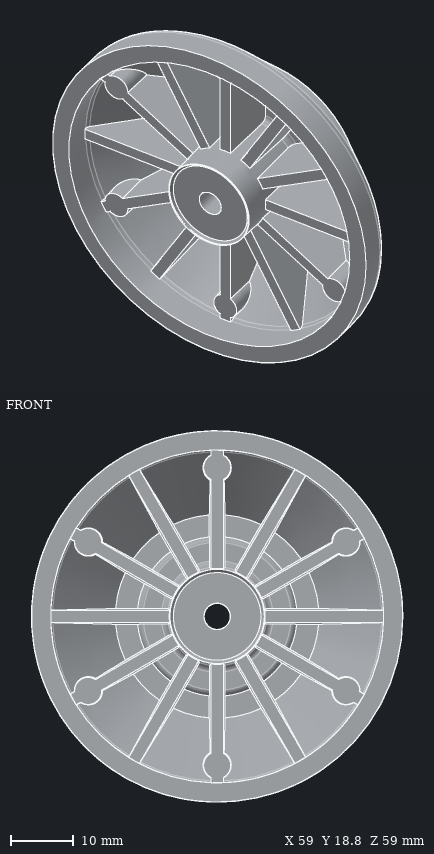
import cadquery as cq
import math


rim_radius = 29.5
shoulder_height = 4.85
back_height = 18.0
boss_height = 18.5
boss_base_radius = 11.2
outer_fillet = 1.75

cavity_radius = 26.45
cavity_wall_depth = 5.35
cavity_fillet = 1.0
floor_radius = 16.15
pad_radius = 11.75
pad_fillet = 0.95

lip_height = 0.25
hub_radius = 7.5
hub_recess_radius = 6.95
hub_recess_depth = 0.55
hub_fillet = 1.0
bore_radius = 2.05

rib_count = 12
rib_face_depth = 4.7
rib_width = 1.95
pin_radius = 2.155
pin_circle_radius = 23.65
draft = 1.5

back_radius = rim_radius - (back_height - shoulder_height)
boss_top_radius = boss_base_radius - (boss_height - back_height)
floor_depth = cavity_wall_depth + cavity_radius - floor_radius
pad_depth = floor_depth - pad_fillet
hub_root_radius = hub_radius + (pad_depth + lip_height) * math.tan(math.radians(draft))
rib_length = back_height - 0.6 - rib_face_depth
rib_angle = 360 / rib_count


def revolve_about_y(profile):
    return profile.close().revolve(360, (0, 0, 0), (0, 1, 0))


def fillet_circle(body, radius, depth, size):
    """Rounds the circular edge about Y that has this radius and this Y."""
    edges = [
        edge
        for edge in body.edges("%CIRCLE").vals()
        if abs(edge.radius() - radius) < 0.005 and abs(edge.Center().y - depth) < 0.005
    ]
    return body.newObject(edges).fillet(size)


def make_envelope():
    """Solid outside shape: rim, cone, flat back, boss and hub lip."""
    body = revolve_about_y(
        cq.Workplane("XY")
        .moveTo(0, 0)
        .lineTo(rim_radius, 0)
        .lineTo(rim_radius, shoulder_height)
        .lineTo(back_radius, back_height)
        .lineTo(boss_base_radius, back_height)
        .lineTo(boss_top_radius, boss_height)
        .lineTo(0, boss_height)
    )
    body = fillet_circle(body, rim_radius, shoulder_height, outer_fillet)
    body = fillet_circle(body, back_radius, back_height, outer_fillet)
    lip = cq.Workplane("XZ").circle(hub_radius).extrude(lip_height)
    return body.union(lip)


def make_cavity():
    """Ring-shaped space between rim and hub, down to the floor and the raised pad."""
    body = revolve_about_y(
        cq.Workplane("XY")
        .moveTo(hub_radius, -lip_height)
        .lineTo(cavity_radius, -lip_height)
        .lineTo(cavity_radius, cavity_wall_depth)
        .lineTo(floor_radius, floor_depth)
        .lineTo(pad_radius + pad_fillet, floor_depth)
        .radiusArc((pad_radius, pad_depth), pad_fillet)
        .lineTo(hub_root_radius, pad_depth)
    )
    body = fillet_circle(body, cavity_radius, cavity_wall_depth, cavity_fillet)
    return fillet_circle(body, hub_root_radius, pad_depth, hub_fillet)


def make_hub_opening():
    """Recess with a sloped side in the hub end, and the bore through the part."""
    recess_floor = hub_recess_depth - lip_height
    recess = revolve_about_y(
        cq.Workplane("XY")
        .moveTo(0, -lip_height)
        .lineTo(hub_radius, -lip_height)
        .lineTo(hub_recess_radius, recess_floor)
        .lineTo(0, recess_floor)
    )
    bore_start = cq.Workplane("XZ", origin=(0, -lip_height, 0))
    bore = bore_start.circle(bore_radius).extrude(-boss_height - lip_height)
    return recess.union(bore)


def rib_plane():
    """Plane of the rib faces; a negative extrusion goes deeper into the part."""
    return cq.Workplane("XZ", origin=(0, rib_face_depth, 0))


def make_rib():
    """Drafted rib along +X, reaching past the cavity wall."""
    return (
        rib_plane()
        .center(cavity_radius / 2 + 0.6, 0)
        .rect(cavity_radius, rib_width)
        .extrude(-rib_length, taper=-draft)
    )


def make_pin():
    """Drafted round pin on the +X rib."""
    return (
        rib_plane()
        .center(pin_circle_radius, 0)
        .circle(pin_radius)
        .extrude(-rib_length, taper=-draft)
    )


def make_ribs():
    """All ribs around the hub, every second one with a pin."""
    ribs = cq.Workplane("XZ")
    for i in range(rib_count):
        rib = make_rib()
        if i % 2 == 1:
            rib = rib.union(make_pin())
        ribs = ribs.union(rib.rotate((0, 0, 0), (0, 1, 0), i * rib_angle))
    return ribs


open_space = make_cavity().cut(make_ribs())
result = make_envelope().cut(open_space).cut(make_hub_opening())